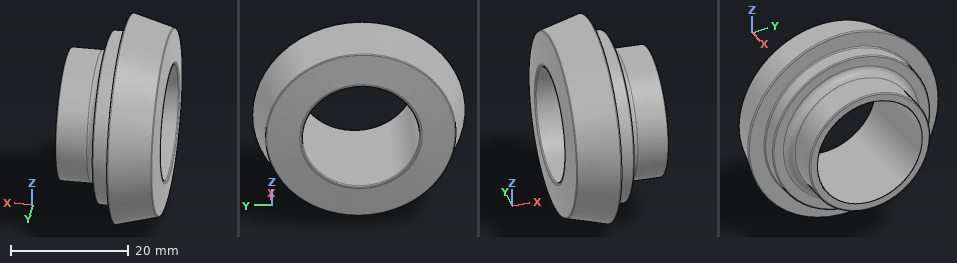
import cadquery as cq
import math

length = 18.0
bore_radius = 10.0

flange_radius = 18.2
flange_back = 8.0
flat_ring_radius = 10.48
face_slope = math.radians(5.0)
rim_taper = math.radians(15.0)

collar_back = 11.02
collar_radius = 15.0
spigot_radius = 11.5

edge_round = 0.2
neck_round = 1.5

rim_corner_half_angle = (math.pi / 2 - rim_taper) / 2
sharp_rim_radius = flange_radius + edge_round * (1 / math.tan(rim_corner_half_angle) - 1)

taper_radius_at_front = sharp_rim_radius - flange_back * math.tan(rim_taper)
front_rim_x = (taper_radius_at_front - flat_ring_radius) / (
    1 / math.tan(face_slope) - math.tan(rim_taper)
)
front_rim_radius = taper_radius_at_front + front_rim_x * math.tan(rim_taper)

bore_mouth = (0, bore_radius)
flat_ring_edge = (0, flat_ring_radius)
front_rim = (front_rim_x, front_rim_radius)
back_rim = (flange_back, sharp_rim_radius)
collar_root = (flange_back, collar_radius)
collar_corner = (collar_back, collar_radius)
neck = (collar_back, spigot_radius)
spigot_end = (length, spigot_radius)
bore_end = (length, bore_radius)


def turned_body():
    """Solid of revolution with sharp corners and a through bore."""
    half_section = [
        bore_mouth,
        flat_ring_edge,
        front_rim,
        back_rim,
        collar_root,
        collar_corner,
        neck,
        spigot_end,
        bore_end,
    ]
    return cq.Workplane("XY").polyline(half_section).close().revolve(360, (0, 0, 0), (1, 0, 0))


def round_corners(body, corners, size):
    """Fillet the circular edges that the given section corners sweep out."""
    tolerance = 0.005

    def is_wanted(edge):
        place = (edge.arcCenter().x, edge.radius())
        return any(math.dist(place, corner) < tolerance for corner in corners)

    circles = body.edges("%CIRCLE").vals()
    return body.newObject([edge for edge in circles if is_wanted(edge)]).fillet(size)


small_corners = [bore_mouth, front_rim, back_rim, collar_root, collar_corner, spigot_end]

result = turned_body()
result = round_corners(result, [neck], neck_round)
result = round_corners(result, small_corners, edge_round).solids()